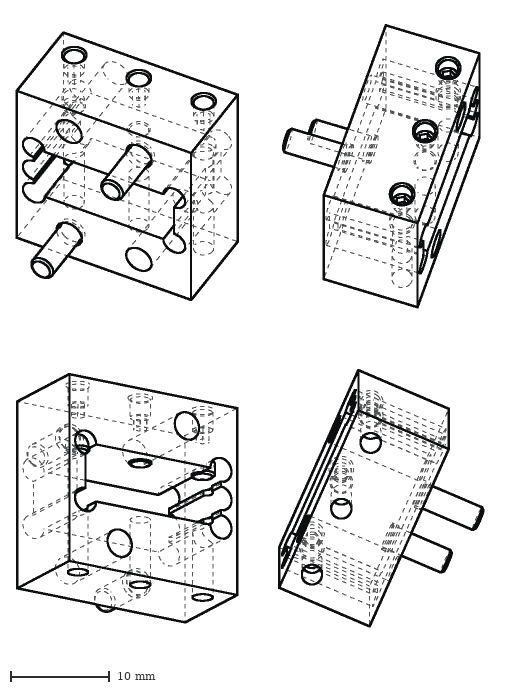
import cadquery as cq
import math

block_width = 20.0
block_depth = 10.0
block_height = 20.0

window_width = 16.1
window_height = 6.1
relief_diameter = 2.5

hole_diameter = 2.9
hole_offset_x = 4.0
hole_offset_z = 7.0
pin_diameter = 2.5
pin_length = 6.0
pin_tip_chamfer = 0.25
pin_shoulder = (hole_diameter - pin_diameter) / 2
pin_seat_recess = 0.5

screw_diameter = 2.5
screw_length = 5.0
screw_protrusion = 0.15
screw_tip_chamfer = 0.25
screw_pitch = 7.42
screw_y = 7.5
bore_diameter = 2.05
bore_countersink = (screw_diameter - bore_diameter) / 2
hex_across_flats = 1.3
hex_depth = 1.2

block_top = block_height / 2
window_side = window_width / 2
window_top = window_height / 2
screw_bottom = window_top - screw_protrusion
screw_top = screw_bottom + screw_length


def cylinder_along_y(x, z, diameter, y_start, y_end):
    """Solid cylinder parallel to Y between two Y positions."""
    start_plane = cq.Plane(origin=(x, y_start, z), xDir=(1, 0, 0), normal=(0, 1, 0))
    return cq.Workplane(start_plane).circle(diameter / 2).extrude(y_end - y_start)


def cylinder_along_z(x, diameter, z_start, z_end):
    """Solid cylinder parallel to Z on the screw row."""
    start = cq.Workplane("XY", origin=(x, screw_y, z_start))
    return start.circle(diameter / 2).extrude(z_end - z_start)


def make_block():
    block = cq.Workplane("XY").box(block_width, block_depth, block_height)
    return block.translate((0, block_depth / 2, 0))


def make_window():
    """Rectangular window with four corner reliefs and one halfway up the -X side."""
    window = cq.Workplane("XY").box(window_width, block_depth, window_height)
    window = window.translate((0, block_depth / 2, 0))
    relief_centres = [
        (-window_side, -window_top),
        (-window_side, 0),
        (-window_side, window_top),
        (window_side, -window_top),
        (window_side, window_top),
    ]
    for x, z in relief_centres:
        window = window.union(cylinder_along_y(x, z, relief_diameter, 0, block_depth))
    return window


def make_pin_hole(x, z):
    return cylinder_along_y(x, z, hole_diameter, 0, block_depth)


def make_pin(x, z):
    """Stepped pin: full hole size inside the block, tapering to the shank just behind the front face."""
    seat = cylinder_along_y(x, z, hole_diameter, pin_seat_recess, block_depth)
    seat = seat.faces("<Y").chamfer(pin_shoulder)
    shank = cylinder_along_y(x, z, pin_diameter, -pin_length, pin_seat_recess + pin_shoulder)
    shank = shank.faces("<Y").chamfer(pin_tip_chamfer)
    return seat.union(shank)


def make_screw_bore(x):
    """Bore through the whole block height, countersunk at the top face."""
    bore = cylinder_along_z(x, bore_diameter, -block_top, block_top)
    mouth = cq.Workplane("XY", origin=(x, screw_y, block_top)).circle(screw_diameter / 2)
    countersink = mouth.workplane(offset=-bore_countersink).circle(bore_diameter / 2).loft(ruled=True)
    return bore.union(countersink)


def make_screw(x):
    """Set screw with a chamfered tip and a hexagon socket."""
    screw = cylinder_along_z(x, screw_diameter, screw_bottom, screw_top)
    screw = screw.faces("<Z").chamfer(screw_tip_chamfer)
    hex_across_corners = hex_across_flats / math.cos(math.radians(30))
    socket = cq.Workplane("XY", origin=(x, screw_y, screw_top))
    socket = socket.polygon(6, hex_across_corners).extrude(-hex_depth)
    return screw.cut(socket)


result = make_block().cut(make_window())

for side in (-1, 1):
    result = result.cut(make_pin_hole(side * hole_offset_x, side * hole_offset_z))
    result = result.cut(make_pin_hole(side * hole_offset_x, -side * hole_offset_z))
    result = result.union(make_pin(side * hole_offset_x, side * hole_offset_z))

for position in (-1, 0, 1):
    result = result.cut(make_screw_bore(position * screw_pitch))
    result = result.union(make_screw(position * screw_pitch))